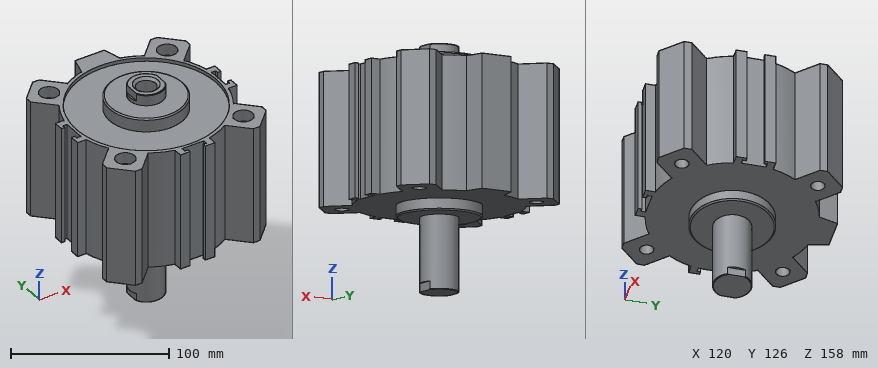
import cadquery as cq
import math

total_length = 158.0
housing_width = 120.0
housing_height = 86.9
half_width = housing_width / 2

barrel_diameter = 110.1
recess_diameter = 105.0
recess_depth = 2.5

boss_diameter = 55.0
boss_chamfer = 1.0
upper_boss_projection = 7.3
lower_boss_projection = 7.6

lug_width = 25.6
lug_reach = 75.5
lug_arm_angles = (45, 135)
bolt_spacing = 88.8
bolt_diameter = 9.0
counterbore_diameter = 13.5
counterbore_depth = 8.4

rail_width = 25.9
rail_angles = (0, 180, 270)
slot_opening = 11.5
slot_width = 16.1
slot_depth = 5.5
lip_thickness = 2.5

housing_depth = 126.0
pad_reach = housing_depth - half_width
pad_tip_width = 22.0
pad_flank_angle = 15.0
pad_embedding = 4.7

rod_diameter = 25.0
rod_chamfer = 0.5
rod_top_projection = 8.0
flat_spacing = 22.0
flat_length = 5.5
rod_hole_diameter = 13.9
rod_hole_mouth = 17.5
rod_hole_depth = 25.3
countersink_angle = 90.0

boss_top = housing_height + upper_boss_projection
rod_top = boss_top + rod_top_projection
rod_bottom = rod_top - total_length


def radial_bar(start, end, width):
    """Full-height bar that runs along +X from start to end, centred on the X axis."""
    return (
        cq.Workplane("XY", origin=(start, 0, 0))
        .box(end - start, width, housing_height, centered=(False, True, False))
    )


def turned(body, angle):
    """Body turned about the rod axis."""
    return body.rotate((0, 0, 0), (0, 0, 1), angle)


def make_lugs():
    """Four diagonal lugs, trimmed square to the housing width."""
    lugs = cq.Workplane("XY")
    arm = radial_bar(-lug_reach, lug_reach, lug_width)
    for angle in lug_arm_angles:
        lugs = lugs.union(turned(arm, angle))
    trim = cq.Workplane("XY").rect(housing_width, housing_width).extrude(housing_height)
    return lugs.intersect(trim)


def make_t_slot():
    """Cutter for a T-slot in the rail on the +X side; its floor cuts slightly into the barrel."""
    slot_floor = half_width - slot_depth
    opening = radial_bar(slot_floor, half_width, slot_opening)
    pocket = radial_bar(slot_floor, half_width - lip_thickness, slot_width)
    return opening.union(pocket)


def make_pad():
    """Tapered pad that widens from its flat tip towards the barrel axis."""
    tip_half = pad_tip_width / 2
    pad_root = recess_diameter / 2 - pad_embedding
    root_half = tip_half + (pad_reach - pad_root) * math.tan(math.radians(pad_flank_angle))
    outline = [
        (-tip_half, pad_reach),
        (tip_half, pad_reach),
        (root_half, pad_root),
        (-root_half, pad_root),
    ]
    return cq.Workplane("XY").polyline(outline).close().extrude(housing_height)


def make_boss():
    """One chamfered cylinder whose two ends form the upper and lower bosses."""
    return (
        cq.Workplane("XY", origin=(0, 0, -lower_boss_projection))
        .circle(boss_diameter / 2)
        .extrude(lower_boss_projection + boss_top)
        .edges("%CIRCLE")
        .chamfer(boss_chamfer)
    )


def lug_cylinders(diameter, depth):
    """One cylinder at each lug, reaching down from the top of the housing."""
    return (
        cq.Workplane("XY", origin=(0, 0, housing_height))
        .rect(bolt_spacing, bolt_spacing, forConstruction=True)
        .vertices()
        .circle(diameter / 2)
        .extrude(-depth)
    )


def make_bolt_holes():
    """Cutters for the through holes in the lugs, counterbored from the top."""
    through = lug_cylinders(bolt_diameter, housing_height)
    counterbores = lug_cylinders(counterbore_diameter, counterbore_depth)
    return through.union(counterbores)


def make_housing():
    """Barrel with its lugs, pad, rails and bosses, bored through for the rod."""
    housing = cq.Workplane("XY").circle(barrel_diameter / 2).extrude(housing_height)
    housing = housing.union(make_lugs()).union(make_pad())
    rail = radial_bar(0, half_width, rail_width)
    t_slot = make_t_slot()
    for angle in rail_angles:
        housing = housing.union(turned(rail, angle)).cut(turned(t_slot, angle))

    recess = (
        cq.Workplane("XY", origin=(0, 0, housing_height - recess_depth))
        .circle(recess_diameter / 2)
        .extrude(recess_depth)
    )
    housing = housing.cut(recess).union(make_boss())

    bore = (
        cq.Workplane("XY", origin=(0, 0, -lower_boss_projection))
        .circle(rod_diameter / 2)
        .extrude(lower_boss_projection + boss_top)
    )
    return housing.cut(bore).cut(make_bolt_holes())


def make_rod():
    """Through rod with wrench flats at both ends and a countersunk hole in its top."""
    rod = (
        cq.Workplane("XY", origin=(0, 0, rod_bottom))
        .circle(rod_diameter / 2)
        .extrude(total_length)
        .edges("%CIRCLE")
        .chamfer(rod_chamfer)
    )
    for flat_bottom in (rod_bottom, rod_top - flat_length):
        end_stock = cq.Workplane("XY", origin=(0, 0, flat_bottom)).rect(rod_diameter, rod_diameter)
        flats = cq.Workplane("XY", origin=(0, 0, flat_bottom)).rect(flat_spacing, rod_diameter)
        rod = rod.cut(end_stock.extrude(flat_length).cut(flats.extrude(flat_length)))
    return (
        rod.faces(">Z")
        .workplane(origin=(0, 0, rod_top))
        .cskHole(rod_hole_diameter, rod_hole_mouth, countersink_angle, depth=rod_hole_depth)
    )


housing = make_housing()
rod = make_rod()
result = cq.Compound.makeCompound([housing.val(), rod.val()])